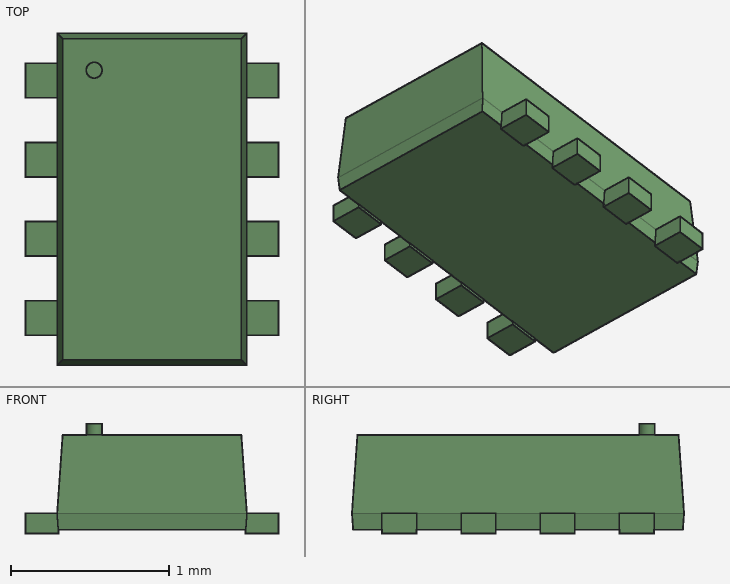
import cadquery as cq

BODY_LENGTH_X = 1.2
BODY_LENGTH_Y = 2.1
STANDOFF = 0.025
PARTING_Z = 0.13
BODY_TOP_Z = 0.625
DRAFT_SLOPE = 0.07

LEAD_SPAN_X = 1.6
LEAD_COUNT_PER_SIDE = 4
LEAD_PITCH = 0.5
LEAD_WIDTH = 0.22
LEAD_THICKNESS = PARTING_Z
LEAD_LENGTH = 0.21

MARKER_DIAMETER = 0.1
MARKER_HEIGHT = 0.07
MARKER_EDGE_DISTANCE = 0.2


def draft_inset(z):
    """Inward shift of the side walls at height z, relative to the parting plane."""
    return abs(z - PARTING_Z) * DRAFT_SLOPE


def drafted_half(end_z):
    """Half of the body, tapering inwards from the parting plane to end_z."""
    height = end_z - PARTING_Z
    inset = draft_inset(end_z)
    return (
        cq.Workplane("XY", origin=(0, 0, PARTING_Z))
        .rect(BODY_LENGTH_X, BODY_LENGTH_Y)
        .workplane(offset=height)
        .rect(BODY_LENGTH_X - 2 * inset, BODY_LENGTH_Y - 2 * inset)
        .loft(ruled=True)
    )


def make_body():
    """Upper and lower halves joined at the parting plane."""
    return drafted_half(BODY_TOP_Z).union(drafted_half(STANDOFF))


def make_leads():
    """Both rows of leads, standing on Z = 0."""
    row_spacing = LEAD_SPAN_X - LEAD_LENGTH
    return (
        cq.Workplane("XY")
        .rarray(row_spacing, LEAD_PITCH, 2, LEAD_COUNT_PER_SIDE)
        .rect(LEAD_LENGTH, LEAD_WIDTH)
        .extrude(LEAD_THICKNESS)
    )


def make_marker():
    edge_offset = draft_inset(BODY_TOP_Z) + MARKER_EDGE_DISTANCE
    marker_x = -BODY_LENGTH_X / 2 + edge_offset
    marker_y = BODY_LENGTH_Y / 2 - edge_offset
    return (
        cq.Workplane("XY", origin=(marker_x, marker_y, BODY_TOP_Z))
        .circle(MARKER_DIAMETER / 2)
        .extrude(MARKER_HEIGHT)
    )


result = make_body().union(make_leads()).union(make_marker())